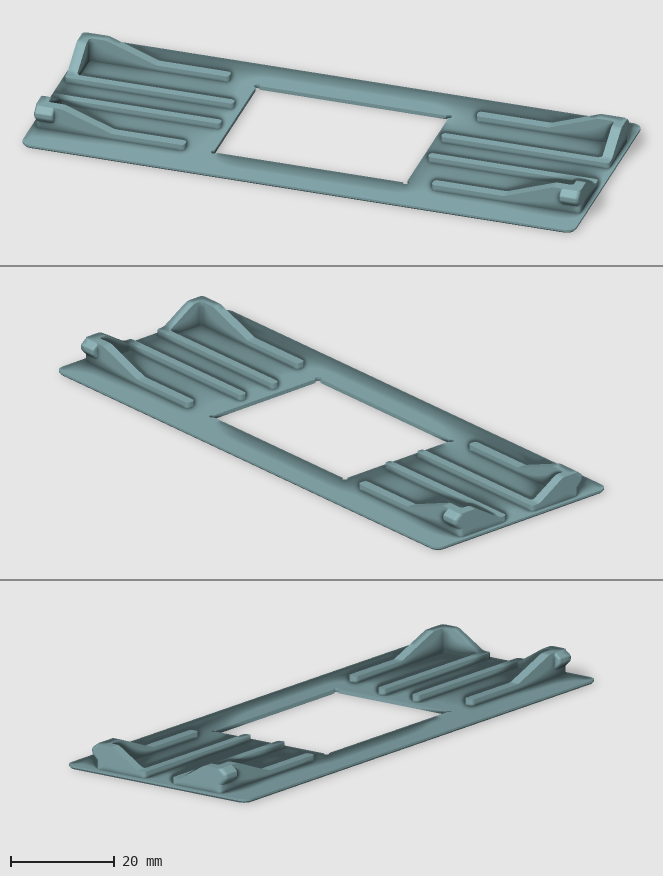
import cadquery as cq
plate_length = 112.0
plate_width = 43.8
plate_thickness = 0.8
plate_corner_radius = 2.0
plate_edge_chamfer = 0.4

window_length = 39.0
window_width = 27.3
relief_radius = 0.6
relief_inset = 0.1

clip_top = 5.8
rail_top = 2.1
clip_end = 55.1
wall_thickness = 2.0
arm_outer = 15.05
arm_thickness = 2.0
arm_inner_end = 25.0
rail_inner = 3.25
rail_width = 1.7
rail_inner_end = 21.0
corner_radius = 0.7
pocket_radius = 0.6

arm_slope_start = 49.7
arm_slope_end = 39.7
wall_slope_start = 11.1
wall_slope_end = 5.1
slope_blend_radius = 2.0

hook_length = 3.9
hook_reach = 16.35
hook_bottom = 2.4
hook_nose_top = 4.8
hook_nose_upper_radius = 0.5
hook_nose_lower_radius = 0.9
hook_inner_end_radius = 0.45

arm_inner = arm_outer - arm_thickness
wall_inner = clip_end - wall_thickness
rail_outer = rail_inner + rail_width


def make_plate():
    """Rounded plate with a chamfered lower edge and a window."""
    plate = (
        cq.Workplane("XY")
        .rect(plate_length, plate_width)
        .extrude(plate_thickness)
        .edges("|Z")
        .fillet(plate_corner_radius)
        .faces("<Z")
        .chamfer(plate_edge_chamfer)
    )
    window = cq.Workplane("XY").rect(window_length, window_width).extrude(plate_thickness)
    reliefs = (
        cq.Workplane("XY")
        .rect(window_length - 2 * relief_inset, window_width - 2 * relief_inset, forConstruction=True)
        .vertices()
        .circle(relief_radius)
        .extrude(plate_thickness)
    )
    return plate.cut(window).cut(reliefs)


def make_footprint():
    """Full-height prism over the arm, end wall and rail, with all upright edges rounded."""
    prism = (
        cq.Workplane("XY")
        .polyline(
            [
                (arm_inner_end, arm_outer),
                (clip_end, arm_outer),
                (clip_end, rail_inner),
                (rail_inner_end, rail_inner),
                (rail_inner_end, rail_outer),
                (wall_inner, rail_outer),
                (wall_inner, arm_inner),
                (arm_inner_end, arm_inner),
            ]
        )
        .close()
        .extrude(clip_top)
    )
    pocket_corners = cq.selectors.BoxSelector(
        (wall_inner - wall_thickness / 2, rail_outer - rail_width / 2, 0),
        (wall_inner + wall_thickness / 2, arm_inner + arm_thickness / 2, clip_top),
    )
    upright = cq.selectors.ParallelDirSelector(cq.Vector(0, 0, 1))
    outer_corners = cq.selectors.SubtractSelector(upright, pocket_corners)
    prism = prism.edges(upright).edges(pocket_corners).fillet(pocket_radius)
    return prism.edges(outer_corners).fillet(corner_radius)


def sloped_bar(plane, high_end, slope_start, slope_end, low_end, depth):
    """Bar whose top runs down a blended slope from clip height to rail height."""
    bar = (
        plane.moveTo(high_end, 0)
        .lineTo(high_end, clip_top)
        .lineTo(slope_start, clip_top)
        .lineTo(slope_end, rail_top)
        .lineTo(low_end, rail_top)
        .lineTo(low_end, 0)
        .close()
        .extrude(depth)
    )
    slope = bar.faces("not(#Z or |Z)")
    return bar.newObject(slope.edges("#Z").vals()).fillet(slope_blend_radius)


def make_hook():
    """Hook reaching outwards from the arm, with a rounded nose and rounded ends."""
    inner_end = clip_end - hook_length
    underside_rise = hook_reach - arm_outer
    hook = (
        cq.Workplane("YZ", origin=(inner_end, 0, 0))
        .moveTo(arm_inner, hook_bottom)
        .lineTo(arm_outer, hook_bottom)
        .lineTo(hook_reach, hook_bottom + underside_rise)
        .lineTo(hook_reach, hook_nose_top)
        .lineTo(arm_outer, clip_top)
        .lineTo(arm_inner, clip_top)
        .close()
        .extrude(hook_length)
    )
    hook = hook.faces(">Y").edges("|X and >Z").fillet(hook_nose_upper_radius)
    hook = hook.faces(">Y").edges("|X and <Z").fillet(hook_nose_lower_radius)
    overhang = cq.selectors.BoxSelector(
        (0, arm_outer, hook_bottom), (plate_length, plate_width, clip_top)
    )
    hook = hook.faces("<X").edges(overhang).fillet(hook_inner_end_radius)
    return hook.faces(">X").edges(overhang).fillet(corner_radius)


def make_clip():
    """Clip in the +X, +Y quadrant."""
    arm_plane = cq.Workplane("XZ", origin=(0, arm_outer, 0))
    wall_plane = cq.Workplane("YZ", origin=(wall_inner - pocket_radius, 0, 0))
    arm = sloped_bar(
        arm_plane, clip_end, arm_slope_start, arm_slope_end, arm_inner_end, arm_thickness + pocket_radius
    )
    wall = sloped_bar(
        wall_plane, arm_outer, wall_slope_start, wall_slope_end, rail_inner, wall_thickness + pocket_radius
    )
    rail = (
        cq.Workplane("XY")
        .moveTo(rail_inner_end, rail_inner)
        .lineTo(clip_end, rail_inner)
        .lineTo(clip_end, rail_outer + pocket_radius)
        .lineTo(rail_inner_end, rail_outer + pocket_radius)
        .close()
        .extrude(rail_top)
    )
    envelope = arm.union(wall).union(rail)
    return make_footprint().intersect(envelope).union(make_hook())


clip = make_clip()
result = make_plate()
for end_clip in (clip, clip.mirror("YZ")):
    result = result.union(end_clip).union(end_clip.mirror("XZ"))